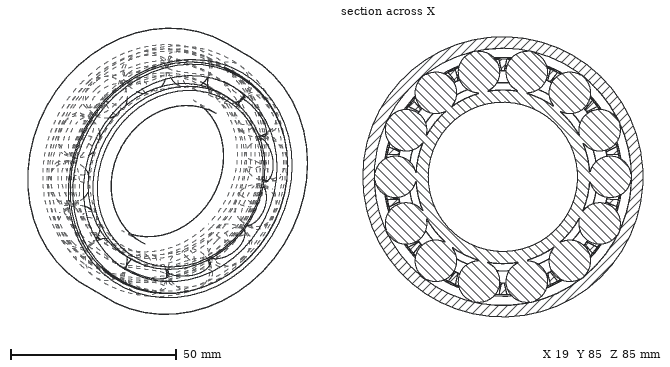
import cadquery as cq

WIDTH = 19.0
OUTER_RADIUS = 42.5
BORE_RADIUS = 22.5
MOUNTING_ROUND = 1.1
BACK_OUTER_ROUND = 0.6

OUTER_SHOULDER_RADIUS = 36.1
INNER_SHOULDER_RADIUS = 28.6
SHOULDER_CHAMFER = 1.0

BALL_COUNT = 14
BALL_RADIUS = 6.4
BALL_ANGLE = 360 / BALL_COUNT
PITCH_RADIUS = (OUTER_RADIUS + BORE_RADIUS) / 2
RACEWAY_RADIUS = 6.6
RACEWAY_EASE = RACEWAY_RADIUS - BALL_RADIUS
SEAT_DEPTH = 0.2

CAGE_WIDTH = WIDTH
CAGE_OUTER_RADIUS = 35.7
CAGE_INNER_RADIUS = 32.1
POCKET_RADIUS = 6.7


def tube(outer_radius, inner_radius, length):
    """Plain tube about the X axis, centred on X = 0."""
    return (
        cq.Workplane("YZ", origin=(-length / 2, 0, 0))
        .circle(outer_radius)
        .circle(inner_radius)
        .extrude(length)
    )


def finish_corners(ring, back_round, mounting_edge, shoulder_edge):
    """Round the mounting corners and chamfer the shoulder corners.

    An edge number of 0 picks the smallest circle of an end face, and -1 the largest.
    """
    for face, corner_round in (("<X", MOUNTING_ROUND), (">X", back_round)):
        ring = ring.faces(face).edges(cq.selectors.RadiusNthSelector(mounting_edge)).fillet(corner_round)
        ring = ring.faces(face).edges(cq.selectors.RadiusNthSelector(shoulder_edge)).chamfer(SHOULDER_CHAMFER)
    return ring


def raceway(centre_radius):
    """Ring of round section about the X axis, to be cut as a ball groove."""
    return cq.Workplane(
        cq.Solid.makeTorus(centre_radius, RACEWAY_RADIUS, cq.Vector(0, 0, 0), cq.Vector(1, 0, 0))
    )


def around_axis(shape):
    """Copies of a shape, one for each ball position about the X axis."""
    return [
        shape.rotate((0, 0, 0), (1, 0, 0), (index + 0.5) * BALL_ANGLE)
        for index in range(BALL_COUNT)
    ]


def make_outer_ring():
    """Outer ring, with a raceway that the balls just touch."""
    ring = tube(OUTER_RADIUS, OUTER_SHOULDER_RADIUS, WIDTH)
    ring = finish_corners(ring, BACK_OUTER_ROUND, mounting_edge=-1, shoulder_edge=0)
    return ring.cut(raceway(PITCH_RADIUS - RACEWAY_EASE)).solids()


def make_inner_ring():
    """Inner ring together with the balls seated in its raceway, as one solid."""
    ring = tube(INNER_SHOULDER_RADIUS, BORE_RADIUS, WIDTH)
    ring = finish_corners(ring, MOUNTING_ROUND, mounting_edge=0, shoulder_edge=-1)
    ring = ring.cut(raceway(PITCH_RADIUS + RACEWAY_EASE + SEAT_DEPTH))
    ball = (
        cq.Workplane("YZ")
        .sphere(BALL_RADIUS)
        .translate((0, 0, PITCH_RADIUS))
    )
    for placed_ball in around_axis(ball):
        ring = ring.union(placed_ball)
    return ring.solids()


def make_cage():
    """Cage band with a round radial pocket around each ball."""
    cage = tube(CAGE_OUTER_RADIUS, CAGE_INNER_RADIUS, CAGE_WIDTH)
    pocket = cq.Workplane("XY").circle(POCKET_RADIUS).extrude(OUTER_RADIUS)
    for placed_pocket in around_axis(pocket):
        cage = cage.cut(placed_pocket)
    return cage.solids()


outer_ring = make_outer_ring()
inner_ring = make_inner_ring()
cage = make_cage()

result = cq.Compound.makeCompound([outer_ring.val(), inner_ring.val(), cage.val()])